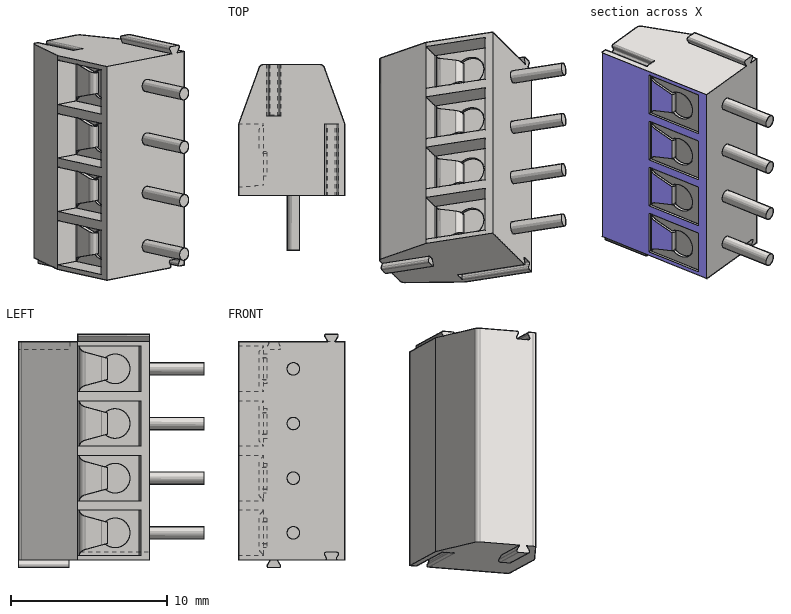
import cadquery as cq
import math


pole_count = 4
pole_pitch = 3.5
housing_width = 6.8
housing_depth = 8.4
shoulder_y = 4.6
taper_angle = 20.0
top_corner_radius = 0.3
housing_height = pole_count * pole_pitch
entry_face_x = -housing_width / 2

pin_diameter = 0.8
pin_length = 3.5
pin_x = 0.1

divider_thickness = 0.6
pocket_height = pole_pitch - divider_thickness
pocket_depth = 1.6
pocket_lower_y = 0.53
pocket_lower_draft = 0.15
pocket_floor_x = entry_face_x + pocket_depth

wire_hole_diameter = 1.9
wire_hole_depth = 0.2
wire_hole_y = 2.2

tongue_thickness = 0.3
tongue_bend_radius = 0.38
tongue_outer_y = shoulder_y - 0.09
tongue_inner_y = 2.7
tongue_outer_height = 2.88
tongue_shoulder_height = 2.14
tongue_inner_height = 1.36
flare_bow = 0.05

dovetail_neck = 0.48
dovetail_angle = 30.0
dovetail_radius = 0.11
rail_height = 0.48
groove_depth = 0.51
front_dovetail_x = 2.54
front_dovetail_length = shoulder_y
rear_dovetail_x = -1.15
rear_rail_length = 3.25
rear_groove_length = 3.3


def make_housing():
    """Rectangular base with sides tapering in from the shoulder to a flat rear."""
    taper_inset = (housing_depth - shoulder_y) * math.tan(math.radians(taper_angle))
    side_x = housing_width / 2
    rear_x = side_x - taper_inset
    body = (
        cq.Workplane("XY")
        .polyline([
            (-side_x, 0),
            (side_x, 0),
            (side_x, shoulder_y),
            (rear_x, housing_depth),
            (-rear_x, housing_depth),
            (-side_x, shoulder_y),
        ])
        .close()
        .extrude(housing_height)
    )
    return body.edges("|Z and >Y").fillet(top_corner_radius)


def make_pin(pole_z):
    """Round solder pin pointing toward -Y."""
    return (
        cq.Workplane("XZ", origin=(pin_x, 0, pole_z))
        .circle(pin_diameter / 2)
        .extrude(pin_length)
    )


def make_entry_pocket(pole_z):
    """Wire entry pocket with a drafted lower wall and a round recess in its floor."""
    pocket = (
        cq.Workplane("XY", origin=(0, 0, pole_z - pocket_height / 2))
        .polyline([
            (entry_face_x, pocket_lower_y),
            (entry_face_x, shoulder_y),
            (pocket_floor_x, shoulder_y),
            (pocket_floor_x, pocket_lower_y + pocket_lower_draft),
        ])
        .close()
        .extrude(pocket_height)
    )
    wire_hole = (
        cq.Workplane("YZ", origin=(pocket_floor_x, wire_hole_y, pole_z))
        .circle(wire_hole_diameter / 2)
        .extrude(wire_hole_depth)
    )
    return pocket.union(wire_hole)


def make_tongue(pole_z):
    """Flat tongue with both ends bent into the floor, narrowing toward the round recess."""
    face_x = pocket_floor_x - tongue_thickness
    root_x = pocket_floor_x + wire_hole_depth
    bend_x = face_x + tongue_bend_radius
    outer_bend_y = tongue_outer_y - tongue_bend_radius
    inner_bend_y = tongue_inner_y + tongue_bend_radius
    bend_rise = tongue_bend_radius / math.sqrt(2)
    arc_x = bend_x - bend_rise
    side_profile = (
        cq.Workplane("XY", origin=(0, 0, pole_z - pocket_height / 2))
        .moveTo(root_x, tongue_outer_y)
        .lineTo(bend_x, tongue_outer_y)
        .threePointArc((arc_x, outer_bend_y + bend_rise), (face_x, outer_bend_y))
        .lineTo(face_x, inner_bend_y)
        .threePointArc((arc_x, inner_bend_y - bend_rise), (bend_x, tongue_inner_y))
        .lineTo(root_x, tongue_inner_y)
        .close()
        .extrude(pocket_height)
    )

    outer_z = tongue_outer_height / 2
    shoulder_z = tongue_shoulder_height / 2
    inner_z = tongue_inner_height / 2
    flare_y = (tongue_outer_y + outer_bend_y) / 2 + flare_bow
    flare_z = (outer_z + shoulder_z) / 2 - flare_bow
    plan_outline = (
        cq.Workplane("YZ", origin=(face_x, 0, pole_z))
        .moveTo(tongue_inner_y, -inner_z)
        .lineTo(outer_bend_y, -shoulder_z)
        .threePointArc((flare_y, -flare_z), (tongue_outer_y, -outer_z))
        .lineTo(tongue_outer_y, outer_z)
        .threePointArc((flare_y, flare_z), (outer_bend_y, shoulder_z))
        .lineTo(tongue_inner_y, inner_z)
        .close()
        .extrude(root_x - face_x)
    )
    return side_profile.intersect(plan_outline)


def make_dovetail(center_x, start_y, length, neck_z, height):
    """Dovetail bar along Y, widening from its neck; a negative height widens downward."""
    neck_half = dovetail_neck / 2
    wide_half = neck_half + abs(height) * math.tan(math.radians(dovetail_angle))
    bar = (
        cq.Workplane("XZ", origin=(center_x, start_y + length, neck_z))
        .polyline([
            (-neck_half, 0),
            (neck_half, 0),
            (wide_half, height),
            (-wide_half, height),
        ])
        .close()
        .extrude(length)
    )
    wide_edges = "|Y and >Z" if height > 0 else "|Y and <Z"
    return bar.edges(wide_edges).fillet(dovetail_radius)


def make_lip_relief(center_x, start_y, length, opening_z, inward):
    """Cutter that rounds both lips of a dovetail groove; inward is +1 for +Z, -1 for -Z."""
    slope = math.radians(dovetail_angle)
    neck_half = dovetail_neck / 2
    lip_angle = math.pi / 2 - slope
    half_sweep = (math.pi - lip_angle) / 2
    tangent_x = neck_half + dovetail_radius / math.tan(lip_angle / 2)
    lower_x = tangent_x - dovetail_radius * math.cos(slope)
    lower_z = inward * dovetail_radius * (1 + math.sin(slope))
    middle_x = tangent_x - dovetail_radius * math.sin(half_sweep)
    middle_z = inward * dovetail_radius * (1 - math.cos(half_sweep))
    return (
        cq.Workplane("XZ", origin=(center_x, start_y + length, opening_z))
        .moveTo(-tangent_x, 0)
        .lineTo(tangent_x, 0)
        .threePointArc((middle_x, middle_z), (lower_x, lower_z))
        .lineTo(-lower_x, lower_z)
        .threePointArc((-middle_x, middle_z), (-tangent_x, 0))
        .close()
        .extrude(length)
    )


def make_groove(center_x, start_y, length, opening_z, inward):
    """Dovetail groove cutter with rounded lips."""
    bar = make_dovetail(center_x, start_y, length, opening_z, inward * groove_depth)
    return bar.union(make_lip_relief(center_x, start_y, length, opening_z, inward))


result = make_housing()

for pole in range(pole_count):
    pole_center_z = pole_pitch / 2 + pole * pole_pitch
    result = result.cut(make_entry_pocket(pole_center_z))
    result = result.union(make_tongue(pole_center_z))
    result = result.union(make_pin(pole_center_z))

result = result.union(
    make_dovetail(front_dovetail_x, 0, front_dovetail_length, housing_height, rail_height)
)
result = result.cut(make_groove(front_dovetail_x, 0, front_dovetail_length, 0, 1))

result = result.union(
    make_dovetail(rear_dovetail_x, housing_depth - rear_rail_length, rear_rail_length, 0, -rail_height)
)
result = result.cut(
    make_groove(
        rear_dovetail_x, housing_depth - rear_groove_length, rear_groove_length, housing_height, -1
    )
)